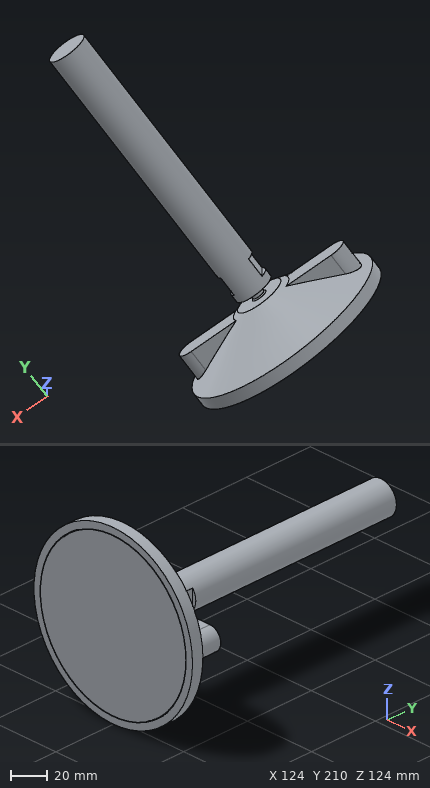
import cadquery as cq

total_length = 210.0

plate_diameter = 124.0
rim_height = 8.2
cone_top_diameter = 29.8
cone_top_y = 29.8

pad_diameter = 113.5
pad_recess_diameter = 114.0
pad_gap_depth = 2.0

bar_length = 112.5
bar_width = 16.8
bar_top_y = 28.0

ball_diameter = 12.5
ball_center_y = 25.6
neck_diameter = 7.8

shank_diameter = 24.0
shank_start_y = 34.9
flats_start_y = 40.1
flats_length = 12.5
across_flats = 19.1


def cylinder(diameter, start_y, end_y):
    """Cylinder on the Y axis between two stations."""
    base = cq.Workplane("XZ", origin=(0, start_y, 0))
    return base.circle(diameter / 2).extrude(start_y - end_y)


def foot_plate():
    """Flat rim topped by a truncated cone."""
    return (
        cq.Workplane("XY")
        .moveTo(0, 0)
        .lineTo(plate_diameter / 2, 0)
        .lineTo(plate_diameter / 2, rim_height)
        .lineTo(cone_top_diameter / 2, cone_top_y)
        .lineTo(0, cone_top_y)
        .close()
        .revolve(360, (0, 0, 0), (0, 1, 0))
    )


def pad_gap():
    """Ring of material removed around the pad."""
    recess = cylinder(pad_recess_diameter, 0, pad_gap_depth)
    return recess.cut(cylinder(pad_diameter, 0, pad_gap_depth))


def cross_bar():
    """Bar rising from the top of the rim through the cone."""
    base = cq.Workplane("XZ", origin=(0, rim_height, 0))
    return base.slot2D(bar_length, bar_width).extrude(rim_height - bar_top_y)


def ball_and_neck():
    """Ball seated in the cone, with the neck reaching up to the shank."""
    ball = cq.Workplane("XY", origin=(0, ball_center_y, 0)).sphere(ball_diameter / 2)
    return ball.union(cylinder(neck_diameter, ball_center_y, shank_start_y))


def shank():
    """Round shank with a wrench flat on the -X and +X sides."""
    body = cylinder(shank_diameter, shank_start_y, total_length)
    flat_depth = (shank_diameter - across_flats) / 2
    flat_center_y = flats_start_y + flats_length / 2
    for side in (-1, 1):
        flat_center_x = side * (across_flats + flat_depth) / 2
        flat = cq.Workplane("XY", origin=(flat_center_x, flat_center_y, 0))
        body = body.cut(flat.box(flat_depth, flats_length, shank_diameter))
    return body


result = foot_plate().union(cross_bar()).cut(pad_gap()).union(ball_and_neck()).union(shank())